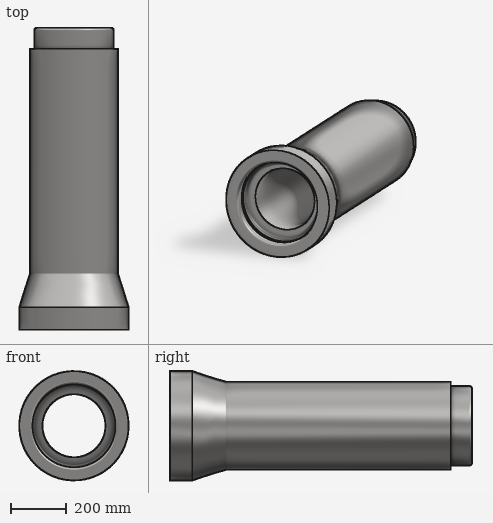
import cadquery as cq
import math

LENGTH = 1080.0
COLLAR_LENGTH = 80.0
FLARE_LENGTH = 121.0
SPIGOT_LENGTH = 76.0
SOCKET_DEPTH = 79.0

COLLAR_DIAMETER = 392.0
BARREL_DIAMETER = 315.0
SPIGOT_DIAMETER = 285.0

BORE_DIAMETER = 225.0
SOCKET_DIAMETER = 297.0
GROOVE_DIAMETER = 308.0

GROOVE_START = 33.0
GROOVE_WIDTH = 15.0

EDGE_RADIUS = 10.0

ROUND_MID = EDGE_RADIUS * (1 - math.sqrt(0.5))


def revolve_about_pipe_axis(outline):
    """Revolve a closed (radius, y) outline about the Y axis."""
    return outline.close().revolve(360, (0, 0, 0), (0, 1, 0))


def outer_body():
    """Solid of revolution: collar, conical flare, barrel and rounded spigot."""
    collar_radius = COLLAR_DIAMETER / 2
    barrel_radius = BARREL_DIAMETER / 2
    spigot_radius = SPIGOT_DIAMETER / 2
    barrel_start = COLLAR_LENGTH + FLARE_LENGTH
    barrel_end = LENGTH - SPIGOT_LENGTH
    outline = (
        cq.Workplane("XY")
        .lineTo(collar_radius, 0)
        .lineTo(collar_radius, COLLAR_LENGTH)
        .lineTo(barrel_radius, barrel_start)
        .lineTo(barrel_radius, barrel_end)
        .lineTo(spigot_radius, barrel_end)
        .lineTo(spigot_radius, LENGTH - EDGE_RADIUS)
        .threePointArc(
            (spigot_radius - ROUND_MID, LENGTH - ROUND_MID),
            (spigot_radius - EDGE_RADIUS, LENGTH),
        )
        .lineTo(0, LENGTH)
    )
    return revolve_about_pipe_axis(outline)


def socket_cavity():
    """Socket with a rounded-over mouth, a seal groove and a filleted floor."""
    socket_radius = SOCKET_DIAMETER / 2
    groove_radius = GROOVE_DIAMETER / 2
    groove_end = GROOVE_START + GROOVE_WIDTH
    outline = (
        cq.Workplane("XY")
        .lineTo(socket_radius + EDGE_RADIUS, 0)
        .threePointArc(
            (socket_radius + ROUND_MID, ROUND_MID),
            (socket_radius, EDGE_RADIUS),
        )
        .lineTo(socket_radius, GROOVE_START)
        .lineTo(groove_radius, GROOVE_START)
        .lineTo(groove_radius, groove_end)
        .lineTo(socket_radius, groove_end)
        .lineTo(socket_radius, SOCKET_DEPTH - EDGE_RADIUS)
        .threePointArc(
            (socket_radius - ROUND_MID, SOCKET_DEPTH - ROUND_MID),
            (socket_radius - EDGE_RADIUS, SOCKET_DEPTH),
        )
        .lineTo(0, SOCKET_DEPTH)
    )
    return revolve_about_pipe_axis(outline)


def bore():
    """Straight bore through the full length of the pipe."""
    return cq.Workplane("XZ").circle(BORE_DIAMETER / 2).extrude(-LENGTH)


result = outer_body().cut(socket_cavity()).cut(bore())